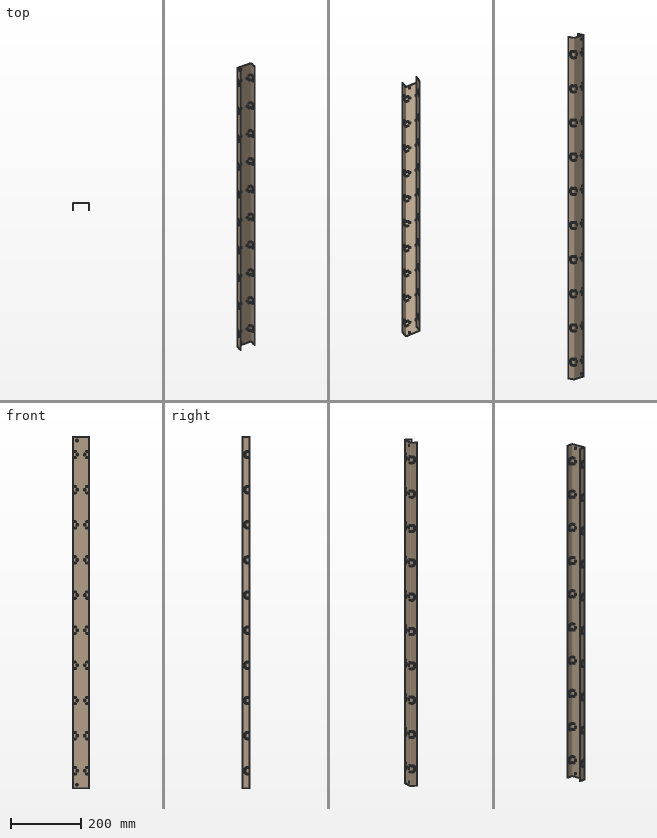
import cadquery as cq

width = 47.0
depth = 21.0
length = 1000.0
thickness = 1.0
bend_outer_radius = 1.5
bend_inner_radius = bend_outer_radius - thickness

station_count = 10
station_pitch = length / station_count

slit_width = 3.0
slit_spacing = 18.0
slit_leg_reach = 13.5
slit_corner_radius = 7.0
slit_web_end = 16.0

tab_hole_diameter = 5.0
tab_hole_offset = 10.5
end_hole_diameter = 5.0
end_hole_offset = 11.5
end_hole_margin = 10.0

web_face = depth / 2
end_z = length / 2
station_levels = [(index + 0.5) * station_pitch - end_z for index in range(station_count)]


def channel():
    """Bent channel with its web at +Y and its legs pointing towards -Y."""
    outer = (
        cq.Workplane("XY")
        .box(width, depth, length)
        .edges("|Z and >Y")
        .fillet(bend_outer_radius)
    )
    inner = (
        cq.Workplane("XY")
        .box(width - 2 * thickness, depth, length)
        .edges("|Z and >Y")
        .fillet(bend_inner_radius)
        .translate((0, -thickness, 0))
    )
    return outer.cut(inner)


def rounded_block(offset):
    """Block across both legs, bounded by the slit centreline moved outwards by offset."""
    return (
        cq.Workplane("XY")
        .box(width, 2 * (slit_leg_reach + offset), slit_spacing + 2 * offset)
        .edges("|X")
        .fillet(slit_corner_radius + offset)
        .translate((0, web_face, 0))
    )


def web_slots():
    """Round-ended slots in the web that carry the slits inwards from both bends."""
    half_slit = slit_spacing / 2
    slot_centres = [(x, z) for x in (-width / 2, width / 2) for z in (-half_slit, half_slit)]
    slot_length = 2 * (width / 2 - slit_web_end) + slit_width
    return (
        cq.Workplane("XZ", origin=(0, web_face, 0))
        .pushPoints(slot_centres)
        .slot2D(slot_length, slit_width)
        .extrude(bend_outer_radius)
    )


def station_slits():
    """Cutter for the slits of the two facing tabs of one station, centred on Z = 0."""
    leg_slits = rounded_block(slit_width / 2).cut(rounded_block(-slit_width / 2))
    web_keeper = (
        cq.Workplane("XY")
        .box(width - 2 * bend_outer_radius, depth, length)
        .translate((0, depth - bend_outer_radius, 0))
    )
    return leg_slits.cut(web_keeper).union(web_slots())


def web_holes(centres, diameter):
    """Cutter for round holes through the web at the given (x, z) centres."""
    return (
        cq.Workplane("XZ", origin=(0, web_face, 0))
        .pushPoints(centres)
        .circle(diameter / 2)
        .extrude(thickness)
    )


tab_hole_centres = [(x, z) for z in station_levels for x in (-tab_hole_offset, tab_hole_offset)]
end_hole_z = end_z - end_hole_margin
end_hole_centres = [(-end_hole_offset, -end_hole_z), (-end_hole_offset, end_hole_z)]

result = channel()
slit_cutter = station_slits()
for level in station_levels:
    result = result.cut(slit_cutter.translate((0, 0, level)))
result = result.cut(web_holes(tab_hole_centres, tab_hole_diameter))
result = result.cut(web_holes(end_hole_centres, end_hole_diameter))